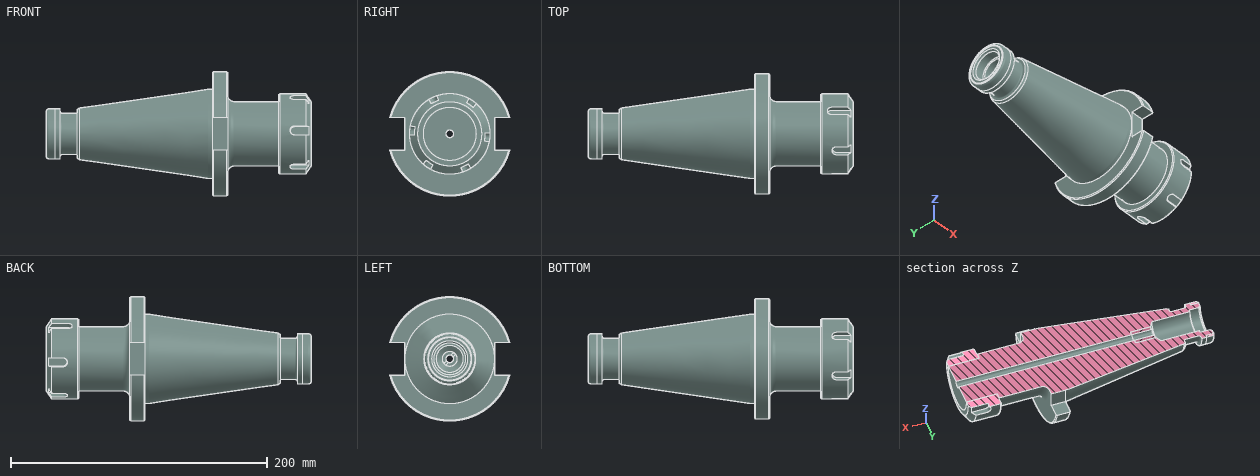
import cadquery as cq
import math

overall_length = 206.8

collar_radius = 19.6
collar_end = 11.0
ring_length = 7.0
ring_fillet = 2.3
spigot_radius = 17.2
spigot_chamfer = 0.6
groove_radius = 16.1
groove_end = 24.2
groove_fillet = 1.7
groove_end_fillet = 0.8

taper_start = 26.0
taper_end = 126.5
taper_large_radius = 35.0
taper_slope = 7 / 48
taper_start_radius = taper_large_radius - taper_slope * (taper_end - taper_start)
taper_nose_radius = 19.0

flange_start = 129.7
flange_end = 141.7
flange_radius = 48.5
flange_bevel = 0.8
notch_width = 25.2
notch_floor = 35.2

shank_radius = 25.2
shank_fillet = 5.0
nose_radius = 20.7

mouth_radius = 12.5
mouth_chamfer = 1.7
mouth_depth = 9.7
tail_bore_radius = 10.5
tail_bore_end = 41.4
drill_half_angle = math.radians(60)
screw_radius = 5.8
screw_length = 16.5
coolant_radius = 2.9
screw_start = tail_bore_end + (tail_bore_radius - screw_radius) / math.tan(drill_half_angle)
screw_end = screw_start + screw_length

driver_slot_width = 2.0
driver_slot_depth = 2.0
driver_slot_angle = 49

nut_start = 181.4
nut_radius = 31.5
nut_back_bevel = 0.8
nut_bevel_start = 202.5
nut_front_radius = 25.0

slot_count = 6
slot_width = 6.5
slot_draft = 4
slot_floor_radius = 27.5
slot_start = nut_start + 9.0
long_slot_start = nut_start + 5.4
long_slot_index = 2
first_slot_angle = 5.0


def turned(profile):
    """Revolve a closed (x, radius) profile about the X axis."""
    return profile.close().revolve(360, (0, 0, 0), (1, 0, 0))


def cylinder(start, end, radius):
    """Solid cylinder along the X axis."""
    return cq.Workplane("YZ").workplane(offset=start).circle(radius).extrude(end - start)


def rotated_from_minus_y(body, angle):
    """Turn a body lying on the -Y side about the X axis towards +Z."""
    return body.rotate((0, 0, 0), (1, 0, 0), -angle)


def make_tail_ring():
    arc_offset = ring_fillet * (1 - math.sqrt(0.5))
    profile = (
        cq.Workplane("XY")
        .moveTo(0, spigot_radius)
        .lineTo(0, collar_radius - ring_fillet)
        .threePointArc((arc_offset, collar_radius - arc_offset), (ring_fillet, collar_radius))
        .lineTo(ring_length, collar_radius)
        .lineTo(ring_length, spigot_radius)
    )
    return turned(profile)


def holder_outside():
    """Solid outer form of the holder, from the tail spigot to the nose."""
    profile = (
        cq.Workplane("XY")
        .moveTo(0, 0)
        .lineTo(0, spigot_radius - spigot_chamfer)
        .lineTo(spigot_chamfer, spigot_radius)
        .lineTo(ring_length, spigot_radius)
        .lineTo(ring_length, collar_radius)
        .lineTo(collar_end, collar_radius)
        .lineTo(collar_end, groove_radius)
        .lineTo(groove_end, groove_radius)
        .lineTo(groove_end, taper_nose_radius)
        .lineTo(taper_start, taper_start_radius)
        .lineTo(taper_end, taper_large_radius)
        .lineTo(flange_start, taper_large_radius)
        .lineTo(flange_start, flange_radius)
        .lineTo(flange_end, flange_radius)
        .lineTo(flange_end, shank_radius)
        .lineTo(nut_start, shank_radius)
        .lineTo(nut_start, nose_radius)
        .lineTo(overall_length, nose_radius)
        .lineTo(overall_length, 0)
    )
    body = turned(profile)
    body = round_edge(body, collar_end, groove_radius, groove_fillet)
    body = round_edge(body, groove_end, groove_radius, groove_end_fillet)
    body = round_edge(body, flange_end, shank_radius, shank_fillet)
    for flange_face in (flange_start, flange_end):
        body = circle_edge(body, flange_face, flange_radius).chamfer(flange_bevel)
    return body


def circle_edge(body, x, radius):
    """Select the circular edge of the given radius at position x."""
    tolerance = 0.1

    def spans(edge):
        box = edge.BoundingBox()
        return abs(box.center.x - x) < tolerance and abs(box.ymax - radius) < tolerance

    return body.edges("%CIRCLE").filter(spans)


def round_edge(body, x, radius, fillet_radius):
    return circle_edge(body, x, radius).fillet(fillet_radius)


def driving_notches():
    """Two opposite blocks that open the flange on its -Y and +Y sides."""
    depth = flange_radius - notch_floor
    notches = cq.Workplane("XY")
    for side in (-1, 1):
        notches = notches.union(
            cq.Workplane("XY")
            .box(flange_end - flange_start, depth, notch_width)
            .translate(((flange_start + flange_end) / 2, side * (notch_floor + depth / 2), 0))
        )
    return notches


def stepped_bore():
    profile = (
        cq.Workplane("XY")
        .moveTo(0, 0)
        .lineTo(0, mouth_radius + mouth_chamfer)
        .lineTo(mouth_chamfer, mouth_radius)
        .lineTo(mouth_depth, mouth_radius)
        .lineTo(mouth_depth, tail_bore_radius)
        .lineTo(tail_bore_end, tail_bore_radius)
        .lineTo(screw_start, screw_radius)
        .lineTo(screw_end, screw_radius)
        .lineTo(screw_end, coolant_radius)
        .lineTo(overall_length, coolant_radius)
        .lineTo(overall_length, 0)
    )
    return turned(profile)


def make_holder():
    return holder_outside().cut(driving_notches()).cut(stepped_bore())


def make_screw():
    blank = cylinder(screw_start, screw_end, screw_radius)
    blank = blank.cut(cylinder(screw_start, screw_end, coolant_radius))
    driver_slot = (
        cq.Workplane("XY")
        .box(driver_slot_depth, 2 * screw_radius, driver_slot_width)
        .translate((screw_start + driver_slot_depth / 2, 0, 0))
    )
    return blank.cut(rotated_from_minus_y(driver_slot, driver_slot_angle))


def spanner_slot(start):
    """Round-ended slot with drafted walls on the -Y side, open towards the front of the nut."""
    end_radius = slot_width / 2
    return (
        cq.Workplane("XZ")
        .workplane(offset=slot_floor_radius)
        .moveTo(overall_length, end_radius)
        .lineTo(start + end_radius, end_radius)
        .threePointArc((start, 0), (start + end_radius, -end_radius))
        .lineTo(overall_length, -end_radius)
        .close()
        .extrude(nut_radius - slot_floor_radius, taper=-slot_draft)
    )


def make_nut():
    profile = (
        cq.Workplane("XY")
        .moveTo(nut_start, nose_radius)
        .lineTo(nut_start, nut_radius - nut_back_bevel)
        .lineTo(nut_start + nut_back_bevel, nut_radius)
        .lineTo(nut_bevel_start, nut_radius)
        .lineTo(overall_length, nut_front_radius)
        .lineTo(overall_length, nose_radius)
    )
    nut = turned(profile)
    for index in range(slot_count):
        start = long_slot_start if index == long_slot_index else slot_start
        angle = first_slot_angle + index * 360 / slot_count
        nut = nut.cut(rotated_from_minus_y(spanner_slot(start), angle))
    return nut


tail_ring = make_tail_ring()
holder = make_holder()
screw = make_screw()
nut = make_nut()

result = cq.Compound.makeCompound([tail_ring.val(), holder.val(), screw.val(), nut.val()])